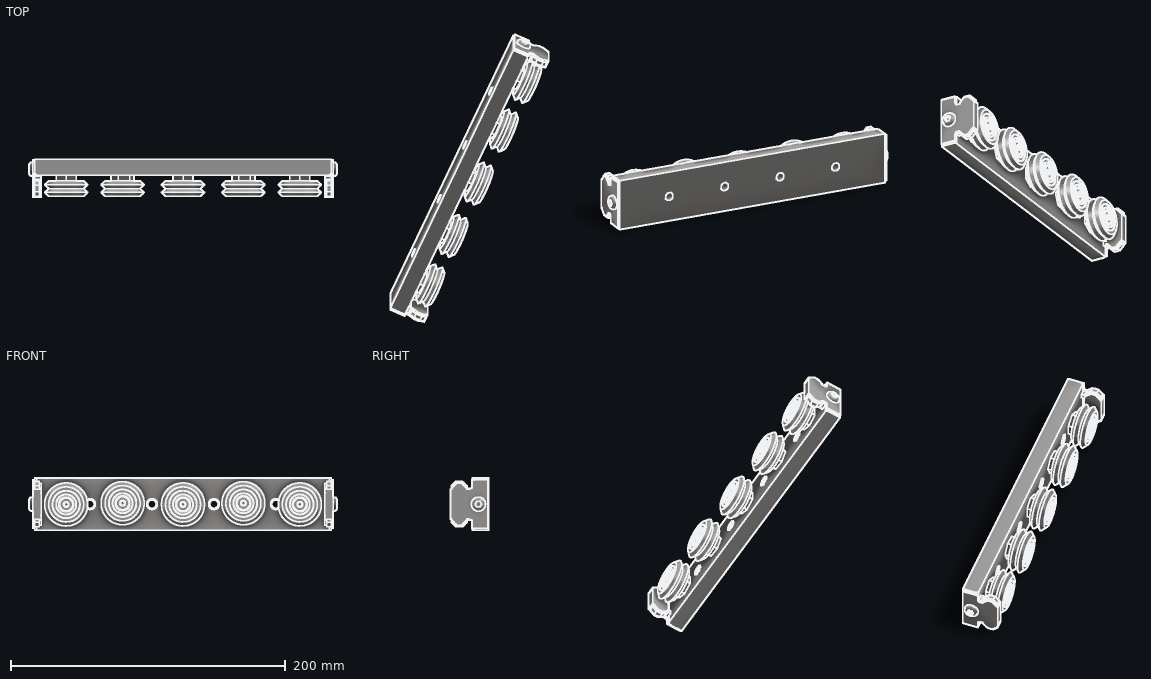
import cadquery as cq
import math


total_length = 224.2
plate_thickness = 1.3
screw_head_height = 3.0
rail_length = total_length - 2 * (plate_thickness + screw_head_height)
rail_height = 38.0
rail_depth = 11.9
rail_end_chamfer = 1.3

hole_diameter = 6.0
hole_rim_diameter = 7.8
hole_rim_angle = 90
hole_pitch = 45.0
hole_count = 4

wheel_radius = 15.7
wheel_face_radius = 12.8
spacer_length = 4.0
spacer_across_flats = 14.8
wheel_width = 11.2
face_groove_depth = 0.7
face_grooves = [(10.0, 9.9), (7.5, 7.2), (5.4, 4.7)]
centre_recess_radius = 2.0
centre_recess_depth = 0.5
centre_cone_radius = 1.5
centre_cone_depth = 1.5
wheel_axis_drop = 0.2
eccentric_rise = 0.7
eccentric_turn = -23.0
inner_wheel_x = 44.0
outer_wheel_x = 85.0
wheel_places = [
    (-outer_wheel_x, -wheel_axis_drop, 0.0),
    (-inner_wheel_x, eccentric_rise, eccentric_turn),
    (0.0, -wheel_axis_drop, 0.0),
    (inner_wheel_x, eccentric_rise, eccentric_turn),
    (outer_wheel_x, -wheel_axis_drop, 0.0),
]

cap_reach = 16.0
plate_back_inset = 0.5
plate_half_height = 17.7
plate_front_overhang = 0.2
neck_half_height = 11.0
neck_fillet = 2.0
lobe_start = 3.8
lobe_end = 15.2
side_layer_half_height = 15.2
side_layer_chamfer = 4.0
middle_layer_half_height = 16.5
middle_layer_chamfer = 3.4
middle_layer_thickness = 3.4
inner_layer_thickness = 1.3
core_start = 2.7
tab_start = 0.5
tab_half_span = 11.7
tab_height = 3.4

screw_head_radius = 5.2
screw_rim_height = 0.7
screw_face_radius = 2.7
screw_y = 4.5
socket_across_flats = 4.0
socket_depth = 1.8


def make_rail():
    rail = (
        cq.Workplane("XY")
        .box(rail_length, rail_depth, rail_height)
        .translate((0, rail_depth / 2, 0))
        .faces("<Y")
        .edges("|Z")
        .chamfer(rail_end_chamfer)
    )
    first_hole_x = -hole_pitch * (hole_count - 1) / 2
    hole_places = [(first_hole_x + i * hole_pitch, 0) for i in range(hole_count)]
    return (
        rail.faces("<Y")
        .workplane(origin=(0, 0, 0))
        .pushPoints(hole_places)
        .cskHole(hole_diameter, hole_rim_diameter, hole_rim_angle)
    )


def hexagon_prism(plane, across_flats, length):
    return cq.Workplane(plane).polygon(6, across_flats / math.cos(math.pi / 6)).extrude(length)


def make_wheel(x, z, spacer_turn):
    back_y = -spacer_length
    front_y = back_y - wheel_width
    groove_y = front_y + face_groove_depth
    recess_y = front_y + centre_recess_depth
    rim_half_width = wheel_width / 4
    section = [
        (0, back_y),
        (wheel_face_radius, back_y),
        (wheel_radius, back_y - rim_half_width),
        (wheel_face_radius, back_y - 2 * rim_half_width),
        (wheel_radius, back_y - 3 * rim_half_width),
        (wheel_face_radius, front_y),
    ]
    for outer_radius, inner_radius in face_grooves:
        section += [
            (outer_radius, front_y),
            (outer_radius, groove_y),
            (inner_radius, groove_y),
            (inner_radius, front_y),
        ]
    section += [
        (centre_recess_radius, front_y),
        (centre_recess_radius, recess_y),
        (centre_cone_radius, recess_y),
        (0, recess_y + centre_cone_depth),
    ]
    wheel = cq.Workplane("XY").polyline(section).close().revolve(360, (0, 0, 0), (0, 1, 0))
    spacer = hexagon_prism("XZ", spacer_across_flats, spacer_length)
    spacer = spacer.rotate((0, 0, 0), (0, 1, 0), 90 + spacer_turn)
    return wheel.union(spacer).translate((x, 0, z))


def mirrored_prism(half_points, x_start, thickness):
    """Extrude along +X an outline given by its upper half as (y, z) points."""
    lower_half = [(y, -z) for y, z in reversed(half_points)]
    return (
        cq.Workplane("YZ", origin=(x_start, 0, 0))
        .polyline(half_points + lower_half)
        .close()
        .extrude(thickness)
    )


def make_lobes(half_height, chamfer, x_start, thickness):
    """The two chamfered lobes of a wiper layer, joined as one strip along z."""
    shoulder_z = half_height - chamfer
    half_points = [
        (-lobe_start, shoulder_z),
        (-lobe_start - chamfer, half_height),
        (-lobe_end + chamfer, half_height),
        (-lobe_end, shoulder_z),
    ]
    return mirrored_prism(half_points, x_start, thickness)


def make_plate(plate_x):
    """Plate that is tall on the rail's end and lower, past a fillet, in front of it."""
    plate_back = rail_depth - plate_back_inset
    rear_half = [(plate_back, plate_half_height), (-plate_front_overhang, plate_half_height)]
    front_half = [(-plate_front_overhang, neck_half_height), (-cap_reach, neck_half_height)]
    reach = neck_fillet / 2
    inner_corners = cq.selectors.BoxSelector(
        (plate_x - reach, -plate_front_overhang - reach, -neck_half_height - reach),
        (plate_x + plate_thickness + reach, reach, neck_half_height + reach),
    )
    plate = mirrored_prism(rear_half + front_half, plate_x, plate_thickness)
    return plate.edges("|X").edges(inner_corners).fillet(neck_fillet)


def make_left_cap():
    plate_x = -rail_length / 2 - plate_thickness
    middle_x = plate_x + plate_thickness
    core_thickness = middle_layer_thickness + inner_layer_thickness
    wiper_thickness = plate_thickness + core_thickness

    core_half = [
        (-core_start, tab_half_span - tab_height),
        (-tab_start, tab_half_span - tab_height),
        (-tab_start, tab_half_span),
        (-core_start, tab_half_span),
        (-core_start, neck_half_height),
        (-cap_reach, neck_half_height),
    ]
    core = mirrored_prism(core_half, middle_x, core_thickness)
    side_lobes = make_lobes(side_layer_half_height, side_layer_chamfer, plate_x, wiper_thickness)
    middle_lobes = make_lobes(
        middle_layer_half_height, middle_layer_chamfer, middle_x, middle_layer_thickness
    )
    return make_plate(plate_x).union(core).union(side_lobes).union(middle_lobes)


def make_left_screw():
    dome_height = screw_head_height - screw_rim_height
    dome_width = screw_head_radius - screw_face_radius
    dome_middle = (
        -screw_rim_height - dome_height * math.sin(math.pi / 4),
        screw_face_radius + dome_width * math.cos(math.pi / 4),
    )
    head = (
        cq.Workplane("XY")
        .lineTo(0, screw_head_radius)
        .lineTo(-screw_rim_height, screw_head_radius)
        .threePointArc(dome_middle, (-screw_head_height, screw_face_radius))
        .lineTo(-screw_head_height, 0)
        .close()
        .revolve(360, (0, 0, 0), (1, 0, 0))
    )
    socket = hexagon_prism("YZ", socket_across_flats, socket_depth)
    head = head.cut(socket.translate((-screw_head_height, 0, 0)))
    return head.translate((-rail_length / 2 - plate_thickness, screw_y, 0))


rail = make_rail()
wheels = [make_wheel(x, z, turn) for x, z, turn in wheel_places]
left_cap = make_left_cap()
left_screw = make_left_screw()
caps = [left_cap, left_cap.mirror("YZ")]
screws = [left_screw, left_screw.mirror("YZ")]

bodies = [rail] + wheels + caps + screws
result = cq.Compound.makeCompound([body.val() for body in bodies])